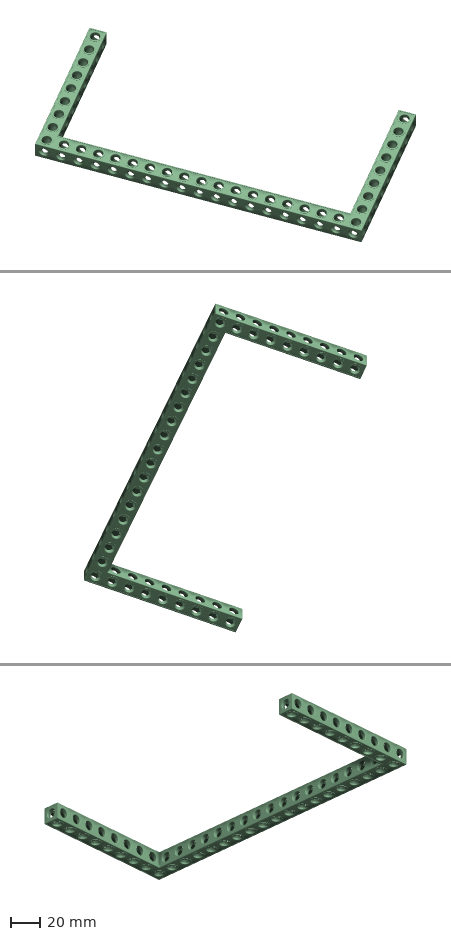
import cadquery as cq
import math

length = 237.5
bar_hole_count = 19
arm_hole_count = 9
hole_diameter = 7.0
hole_rim_fillet = 0.4
edge_fillet = 0.5
ring_diameter = 9.3
border_width = 1.0
recess_depth = 0.2

pitch = length / bar_hole_count
arm_length = arm_hole_count * pitch
half_beam = pitch / 2
hole_radius = hole_diameter / 2

bar_positions = [half_beam + i * pitch for i in range(bar_hole_count)]
arm_positions = [half_beam + i * pitch for i in range(arm_hole_count)]
arm_centre_lines = (bar_positions[0], bar_positions[-1])
vertical_centres = [(x, half_beam) for x in bar_positions]
vertical_centres += [(x, y) for x in arm_centre_lines for y in arm_positions[1:]]

ALONG_X = (1, 0, 0)
ALONG_Y = (0, 1, 0)
ALONG_Z = (0, 0, 1)


def u_prism(inset, bottom, height):
    """U-shaped prism whose outline is moved inward by the inset."""
    low = inset
    right = length - inset
    end = arm_length - inset
    inner = pitch - inset
    outline = [
        (low, low),
        (right, low),
        (right, end),
        (length - inner, end),
        (length - inner, inner),
        (inner, inner),
        (inner, end),
        (low, end),
    ]
    return cq.Workplane("XY", origin=(0, 0, bottom)).polyline(outline).close().extrude(height)


def panel_recess(bottom):
    """Shallow cutter inside the border, leaving a ring around each vertical hole."""
    rings = (
        cq.Workplane("XY", origin=(0, 0, bottom))
        .pushPoints(vertical_centres)
        .circle(ring_diameter / 2)
        .extrude(recess_depth)
    )
    return u_prism(border_width, bottom, recess_depth).cut(rings)


def rounded_hole(depth):
    """Cutter along +Z from the origin, flaring with a convex rim at both ends."""
    rim = hole_rim_fillet
    mouth_radius = hole_radius + rim
    arc_inset = rim * (1 - math.sqrt(0.5))
    profile = (
        cq.Workplane("XZ")
        .lineTo(mouth_radius, 0)
        .threePointArc((hole_radius + arc_inset, arc_inset), (hole_radius, rim))
        .lineTo(hole_radius, depth - rim)
        .threePointArc((hole_radius + arc_inset, depth - arc_inset), (mouth_radius, depth))
        .lineTo(0, depth)
        .close()
    )
    return profile.revolve(360, (0, 0, 0), (0, 1, 0)).val()


def placed(cutter, start, direction):
    """Copy of a cutter moved to a start point and turned along a direction."""
    return cutter.moved(cq.Location(cq.Plane(origin=start, normal=direction)))


frame = u_prism(0, 0, pitch).faces("|Z").edges().fillet(edge_fillet)
frame = frame.cut(panel_recess(0)).cut(panel_recess(pitch - recess_depth))

beam_hole = rounded_hole(pitch)
hole_cutters = []

for x, y in vertical_centres:
    hole_cutters.append(placed(beam_hole, (x, y, 0), ALONG_Z))

for x in bar_positions[1:-1]:
    hole_cutters.append(placed(beam_hole, (x, 0, half_beam), ALONG_Y))
for x in arm_centre_lines:
    hole_cutters.append(placed(rounded_hole(arm_length), (x, 0, half_beam), ALONG_Y))

for y in arm_positions[1:]:
    for x in (0, length - pitch):
        hole_cutters.append(placed(beam_hole, (x, y, half_beam), ALONG_X))
hole_cutters.append(placed(rounded_hole(length), (0, half_beam, half_beam), ALONG_X))

for cutter in hole_cutters:
    frame = frame.cut(cq.Workplane(obj=cutter))

result = frame.solids()